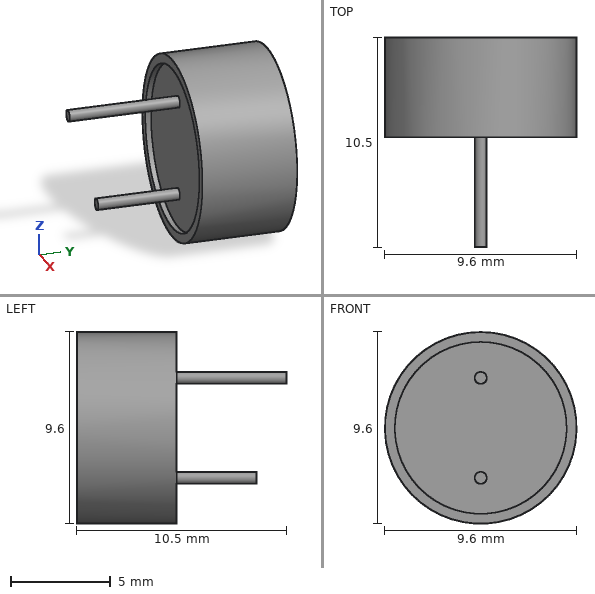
import cadquery as cq

body_diameter = 9.6
body_length = 5.0
recess_diameter = 8.6
recess_depth = 0.3

pin_diameter = 0.6
pin_pitch = 5.0
upper_pin_reach = 5.5
lower_pin_reach = 4.0


def cylinder_along_y(diameter, y_start, y_end, z=0):
    """Cylinder parallel to Y between two Y positions, at height z."""
    axis = cq.Vector(0, 1, 0)
    base = cq.Vector(0, y_start, z)
    return cq.Workplane(cq.Solid.makeCylinder(diameter / 2, y_end - y_start, base, axis))


def make_body():
    """Can with its rim at Y = 0 and a shallow round recess inside the rim."""
    can = cylinder_along_y(body_diameter, 0, body_length)
    recess = cylinder_along_y(recess_diameter, 0, recess_depth)
    return can.cut(recess)


def make_pin(reach, z):
    """Pin from the recess floor out past the rim."""
    return cylinder_along_y(pin_diameter, -reach, recess_depth, z)


result = make_body()
for reach, z in ((upper_pin_reach, pin_pitch / 2), (lower_pin_reach, -pin_pitch / 2)):
    result = result.union(make_pin(reach, z))